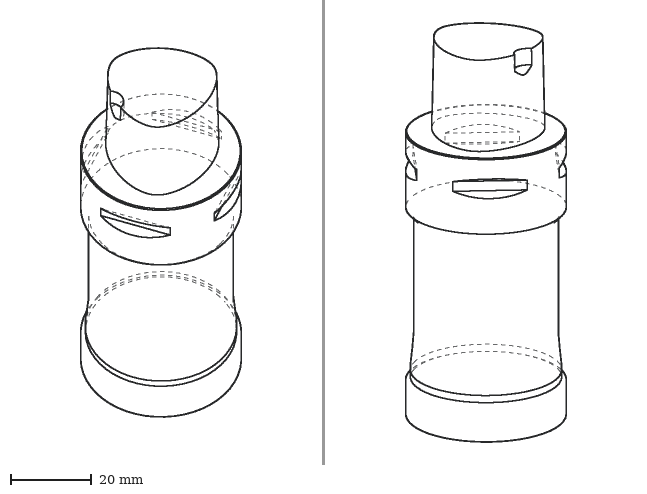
import cadquery as cq
import math

TOTAL_HEIGHT = 99.0
NUT_TOP = 12.0
NUT_SHOULDER = 10.1
CONE_BOTTOM = 13.5
CONE_TOP = 20.7
BARREL_BOTTOM = 21.6
FLANGE_BOTTOM = 55.0
FLANGE_TOP = 75.0

FLANGE_RADIUS = 40.0 / 2
BARREL_RADIUS = 36.0 / 2
COLLAR_RADIUS = 37.6 / 2
CONE_TOP_RADIUS = BARREL_RADIUS + 0.1

FLANGE_CHAMFER = 0.3
NUT_LEDGE_DROP = 0.5
NUT_LEDGE_FILLET = 0.6
NUT_NOSE_FILLET = 0.4
UNDERCUT_CHAMFER = 1.5

SHANK_BASE_RADIUS = 14.1
SHANK_TOP_RADIUS = 13.6
LOBE_HEIGHT = 1.0
LOBES = 3
POINTS_PER_CURVE = 9

NOTCH_RADIUS = 3.6
NOTCH_AXIS_Y = -14.1
NOTCH_DEPTH = 4.4
NOTCH_TIP_HEIGHT = 2.7

SLOT_COUNT = 4
SLOT_LEVEL = 67.0
SLOT_FLOOR_DISTANCE = 17.7
SLOT_FLOOR_HEIGHT = 2.6
SLOT_FLARE_ANGLE = 30.0


def revolve_profile(profile):
    """Turn a half profile, drawn as radius against height, about Z."""
    return profile.close().revolve(360, (0, 0, 0), (0, 1, 0))


def lobed_point(mean_radius, angle):
    """Point of the constant-width lobed outline whose outward normal is at angle."""
    lobe_angle = LOBES * (angle - math.pi / 2)
    reach = mean_radius + LOBE_HEIGHT * math.cos(lobe_angle)
    slide = -LOBES * LOBE_HEIGHT * math.sin(lobe_angle)
    return (
        reach * math.cos(angle) - slide * math.sin(angle),
        reach * math.sin(angle) + slide * math.cos(angle),
    )


def lobed_wire(mean_radius, level):
    """Closed outline of alternating lobe and flank curves at one level."""
    curve_span = math.pi / LOBES
    edges = []
    for curve in range(2 * LOBES):
        points = []
        for step in range(POINTS_PER_CURVE):
            angle = (curve + step / (POINTS_PER_CURVE - 1)) * curve_span
            x, y = lobed_point(mean_radius, angle)
            points.append(cq.Vector(x, y, level))
        edges.append(cq.Edge.makeSpline(points))
    return cq.Wire.assembleEdges(edges)


def make_shank():
    base = lobed_wire(SHANK_BASE_RADIUS, FLANGE_TOP)
    top = lobed_wire(SHANK_TOP_RADIUS, TOTAL_HEIGHT)
    return cq.Workplane(cq.Solid.makeLoft([base, top], True))


def make_turned_body():
    """Flange, undercut, barrel and flared lower end of the holder."""
    cone_end_radius = FLANGE_RADIUS - UNDERCUT_CHAMFER
    cone_angle = math.pi / 4
    fillet_radius = (cone_end_radius - BARREL_RADIUS) / (1 - math.cos(cone_angle))
    cone_end_level = FLANGE_BOTTOM - UNDERCUT_CHAMFER
    fillet_end_level = cone_end_level - fillet_radius * math.sin(cone_angle)
    fillet_middle = (
        BARREL_RADIUS + fillet_radius * (1 - math.cos(cone_angle / 2)),
        fillet_end_level + fillet_radius * math.sin(cone_angle / 2),
    )
    return revolve_profile(
        cq.Workplane("XZ")
        .moveTo(0, NUT_TOP)
        .lineTo(COLLAR_RADIUS, NUT_TOP)
        .lineTo(COLLAR_RADIUS, CONE_BOTTOM)
        .lineTo(CONE_TOP_RADIUS, CONE_TOP)
        .lineTo(BARREL_RADIUS, BARREL_BOTTOM)
        .lineTo(BARREL_RADIUS, fillet_end_level)
        .threePointArc(fillet_middle, (cone_end_radius, cone_end_level))
        .lineTo(FLANGE_RADIUS, FLANGE_BOTTOM)
        .lineTo(FLANGE_RADIUS, FLANGE_TOP - FLANGE_CHAMFER)
        .lineTo(FLANGE_RADIUS - FLANGE_CHAMFER, FLANGE_TOP)
        .lineTo(0, FLANGE_TOP)
    )


def make_notch():
    """Round vertical pocket with a conical bottom, open at the shank top."""
    wall_end = TOTAL_HEIGHT - NOTCH_DEPTH
    drill = revolve_profile(
        cq.Workplane("XZ")
        .moveTo(0, wall_end - NOTCH_TIP_HEIGHT)
        .lineTo(NOTCH_RADIUS, wall_end)
        .lineTo(NOTCH_RADIUS, TOTAL_HEIGHT)
        .lineTo(0, TOTAL_HEIGHT)
    )
    return drill.translate((0, NOTCH_AXIS_Y, 0))


def make_slot(angle):
    """Straight slot with flared walls, cut tangentially across the flange."""
    depth = FLANGE_RADIUS - SLOT_FLOOR_DISTANCE
    floor_half = SLOT_FLOOR_HEIGHT / 2
    mouth_half = floor_half + depth * math.tan(math.radians(SLOT_FLARE_ANGLE))
    slot = (
        cq.Workplane("XZ")
        .moveTo(SLOT_FLOOR_DISTANCE, SLOT_LEVEL - floor_half)
        .lineTo(FLANGE_RADIUS, SLOT_LEVEL - mouth_half)
        .lineTo(FLANGE_RADIUS, SLOT_LEVEL + mouth_half)
        .lineTo(SLOT_FLOOR_DISTANCE, SLOT_LEVEL + floor_half)
        .close()
        .extrude(FLANGE_RADIUS, both=True)
    )
    return slot.rotate((0, 0, 0), (0, 0, 1), angle)


def make_holder():
    holder = make_turned_body().union(make_shank()).cut(make_notch())
    slot_pitch = 360 / SLOT_COUNT
    for index in range(SLOT_COUNT):
        holder = holder.cut(make_slot((index + 0.5) * slot_pitch))
    return holder


def make_nut():
    """Clamping nut with a collar that meets the lower end of the holder."""
    ledge_end = NUT_SHOULDER - NUT_LEDGE_DROP
    nut = revolve_profile(
        cq.Workplane("XZ")
        .lineTo(FLANGE_RADIUS, 0)
        .lineTo(FLANGE_RADIUS, ledge_end)
        .lineTo(COLLAR_RADIUS, NUT_SHOULDER)
        .lineTo(COLLAR_RADIUS, NUT_TOP)
        .lineTo(0, NUT_TOP)
    )
    nut = nut.faces("<Z").edges().fillet(NUT_NOSE_FILLET)
    ledge_rim = cq.selectors.NearestToPointSelector((0, 0, ledge_end))
    return nut.edges(ledge_rim).fillet(NUT_LEDGE_FILLET)


holder = make_holder()
nut = make_nut()
result = cq.Compound.makeCompound([holder.val(), nut.val()])